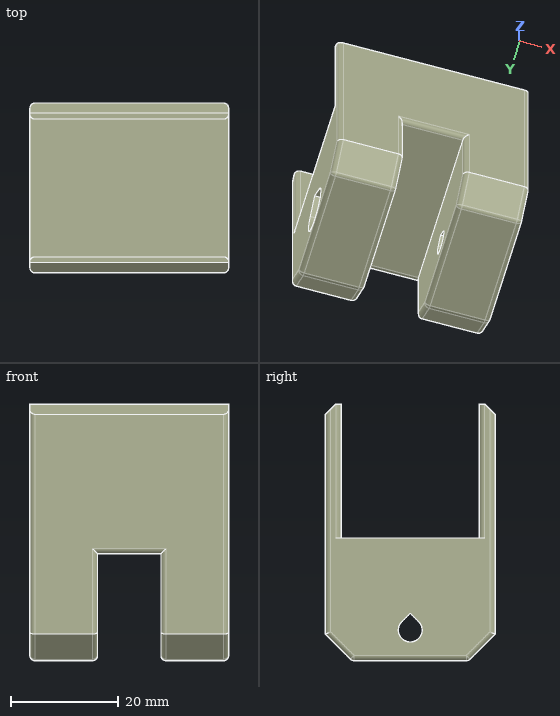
import cadquery as cq
import math

length = 37.2
width = 31.8
height = 48.0
edge_radius = 1.0
top_chamfer = 1.9
bottom_chamfer = 5.0

wall_thickness = 3.0
channel_floor = 23.0
channel_width = width - 2 * wall_thickness

slot_width = 11.8
slot_height = 20.0

pin_height = 5.75
pin_radius = 2.2
head_radius = 4.2
head_depth = 2.0

tolerance = 0.005


def body():
    """Block with its long edges chamfered and its end and bottom edges rounded."""
    block = cq.Workplane("XY").box(length, width, height, centered=(True, True, False))
    block = block.edges("|X and >Z").chamfer(top_chamfer)
    block = block.edges("|X and <Z").chamfer(bottom_chamfer)
    end_edges = block.faces("<X or >X").edges(
        cq.selectors.BoxSelector(
            (-length, -width, -height),
            (length, width, height - top_chamfer - tolerance),
        )
    )
    bottom_edges = block.faces("<Z").edges("|X")
    return end_edges.add(bottom_edges).fillet(edge_radius)


def channel(part):
    """Cut the top channel and round the inner upright edges of the walls."""
    depth = height - channel_floor
    cutter = (
        cq.Workplane("XY")
        .workplane(offset=channel_floor)
        .rect(length, channel_width)
        .extrude(depth)
    )
    inner_edges = cq.selectors.BoxSelector(
        (-length, -channel_width / 2 - tolerance, channel_floor),
        (length, channel_width / 2 + tolerance, height),
    )
    return part.cut(cutter).edges("|Z").edges(inner_edges).fillet(edge_radius)


def slot(part):
    """Cut the bottom slot and round its mouth on the outer and lower faces."""
    cutter = cq.Workplane("XY").box(slot_width, width, slot_height, centered=(True, True, False))
    part = part.cut(cutter)
    slot_edges = cq.selectors.BoxSelector(
        (-slot_width / 2 - tolerance, -width, -height),
        (slot_width / 2 + tolerance, width, slot_height + tolerance),
    )
    roof_corners = part.edges("|Y").edges(
        cq.selectors.BoxSelector(
            (-slot_width, -width, slot_height - tolerance),
            (slot_width, width, slot_height + tolerance),
        )
    ).vals()
    mouth = [
        edge
        for edge in part.edges(slot_edges).vals()
        if not any(edge.isSame(corner) for corner in roof_corners)
    ]
    return part.newObject(mouth).fillet(edge_radius)


def teardrop(radius, depth):
    """Teardrop prism from the -X face: a circle with a 90 degree peak on top."""
    tangent = radius / math.sqrt(2)
    peak = radius * math.sqrt(2)
    return (
        cq.Workplane("YZ", origin=(-length / 2, 0, pin_height))
        .moveTo(tangent, tangent)
        .lineTo(0, peak)
        .lineTo(-tangent, tangent)
        .threePointArc((0, -radius), (tangent, tangent))
        .close()
        .extrude(depth)
    )


part = slot(channel(body()))
part = part.cut(teardrop(pin_radius, length))
result = part.cut(teardrop(head_radius, head_depth))